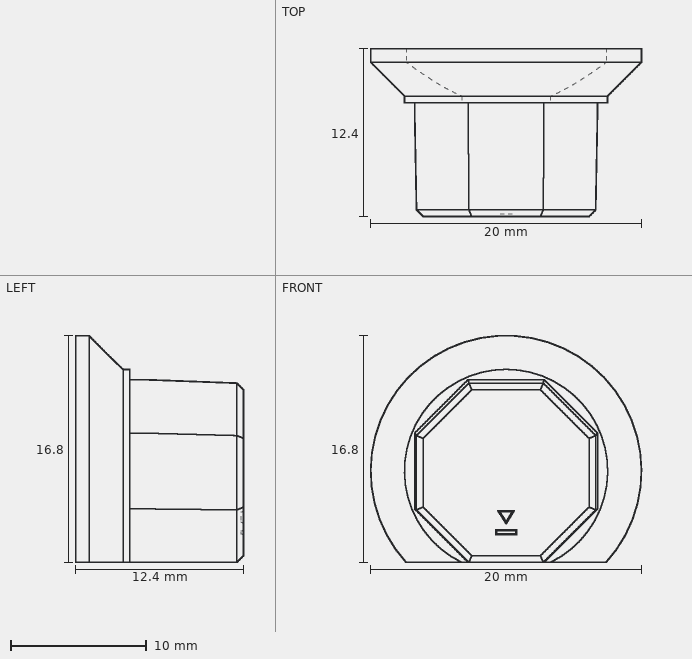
import cadquery as cq
import math

flange_radius = 10.0
rim_thickness = 1.0
collar_radius = 7.5
cone_depth = flange_radius - collar_radius
collar_thickness = 0.5
flange_depth = rim_thickness + cone_depth + collar_thickness

knob_width = 13.5
knob_end_width = 13.25
bottom_z = -knob_width / 2
total_depth = 12.4
straight_length = 1.0
end_chamfer = 0.5
taper_length = total_depth - flange_depth - straight_length - end_chamfer

mark_depth = 0.2
mark_wall_inset = 0.08
mark_taper = math.degrees(math.atan(mark_wall_inset / mark_depth))
triangle_width = 1.2
triangle_top_z = -2.95
triangle_tip_z = -3.9
bar_width = 1.55
bar_height = 0.35
bar_center_z = -4.52


def plane_at(depth):
    """XZ sketch plane facing -Y, the given depth in front of the back face."""
    return cq.Workplane("XZ", origin=(0, -depth, 0))


def octagon_points(width, center_z):
    """Corners of an octagon with flats square to X and Z."""
    corner_radius = width / 2 / math.cos(math.pi / 8)
    angles = [math.pi / 8 + i * math.pi / 4 for i in range(8)]
    return [
        (corner_radius * math.cos(a), center_z + corner_radius * math.sin(a))
        for a in angles
    ]


def octagon_loft(start_depth, length, start, end):
    """Loft between two octagons, each given as (width, center_z)."""
    return (
        plane_at(start_depth)
        .polyline(octagon_points(*start)).close()
        .workplane(offset=length)
        .polyline(octagon_points(*end)).close()
        .loft(ruled=True)
    )


def make_flange():
    profile = [
        (0, 0),
        (flange_radius, 0),
        (flange_radius, -rim_thickness),
        (collar_radius, -rim_thickness - cone_depth),
        (collar_radius, -flange_depth),
        (0, -flange_depth),
    ]
    round_flange = (
        cq.Workplane("XY").polyline(profile).close().revolve(360, (0, 0), (0, 1))
    )
    keep_above_flat = cq.Workplane("XY", origin=(0, 0, bottom_z)).box(
        2 * flange_radius, 2 * flange_depth, 2 * flange_radius, centered=(True, True, False)
    )
    return round_flange.intersect(keep_above_flat)


def make_knob():
    base = (knob_width, 0)
    taper_end = (knob_end_width, bottom_z + knob_end_width / 2)
    tip = (knob_end_width - 2 * end_chamfer, taper_end[1])
    taper_start = flange_depth + straight_length

    straight = (
        plane_at(flange_depth).polyline(octagon_points(*base)).close().extrude(straight_length)
    )
    tapered = octagon_loft(taper_start, taper_length, base, taper_end)
    chamfered_end = octagon_loft(taper_start + taper_length, end_chamfer, taper_end, tip)
    return straight.union(tapered).union(chamfered_end)


def make_mark():
    triangle = (
        plane_at(total_depth)
        .polyline([
            (-triangle_width / 2, triangle_top_z),
            (0, triangle_tip_z),
            (triangle_width / 2, triangle_top_z),
        ])
        .close()
        .extrude(-mark_depth, taper=mark_taper)
    )
    bar = (
        plane_at(total_depth)
        .center(0, bar_center_z)
        .rect(bar_width, bar_height)
        .extrude(-mark_depth, taper=mark_taper)
    )
    return triangle.union(bar)


result = make_flange().union(make_knob()).cut(make_mark())